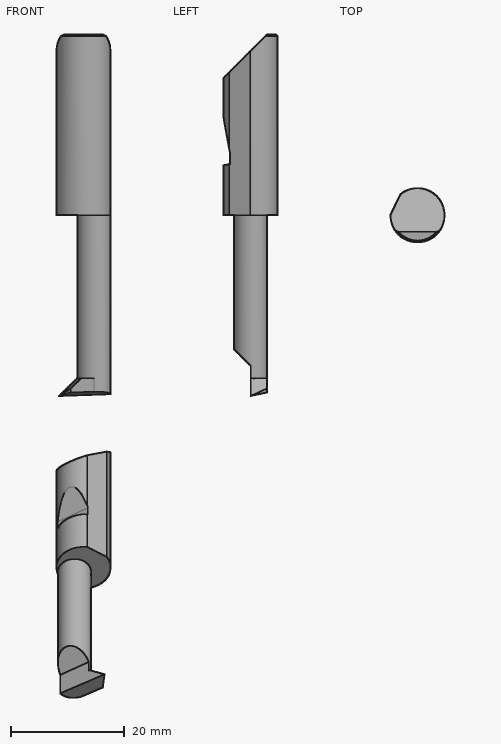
import cadquery as cq
import math

total_length = 63.5
shank_radius = 4.75
shank_bottom = 31.75
rim_chamfer = 0.3

flat_distance = 4.3
flat_angle = 154.0

top_cut_start_y = -2.9
top_cut_angle = 45.0

notch_top = 48.9
notch_ramp_end = 42.6
notch_floor_end = 40.75
notch_bottom = 40.5
notch_depth = 1.15

neck_radius = 2.9
neck_x = shank_radius - neck_radius

rake_runout_z = 5.35
tip_x = -4.3
head_height = 3.2
head_top_x = neck_x - neck_radius
flank_relief = 0.7
end_rise = 0.3
end_relief = 0.6
side_relief = 2.1


def make_shank():
    body = (
        cq.Workplane("XY")
        .workplane(offset=shank_bottom)
        .circle(shank_radius)
        .extrude(total_length - shank_bottom)
        .faces(">Z")
        .chamfer(rim_chamfer)
    )
    flat = (
        cq.Workplane("XY")
        .center(flat_distance + shank_radius, 0)
        .rect(2 * shank_radius, 2 * shank_radius)
        .extrude(total_length)
        .rotate((0, 0, 0), (0, 0, 1), flat_angle)
    )
    top_cut_run = 2 * shank_radius - top_cut_start_y
    top_cut_drop = top_cut_run * math.tan(math.radians(top_cut_angle))
    top_cut = side_prism([
        (top_cut_start_y, total_length),
        (top_cut_start_y + top_cut_run, total_length),
        (top_cut_start_y + top_cut_run, total_length - top_cut_drop),
    ])
    notch = side_prism([
        (shank_radius, notch_top),
        (shank_radius - notch_depth, notch_ramp_end),
        (shank_radius - notch_depth, notch_floor_end),
        (shank_radius, notch_bottom),
    ])
    return body.cut(flat).cut(top_cut).cut(notch)


def side_prism(points):
    """Extrude a Y-Z outline across the full width of the part."""
    return cq.Workplane("YZ").polyline(points).close().extrude(shank_radius, both=True)


def make_neck():
    """Round neck, cut back to its middle plane above the cutting head."""
    neck = cq.Workplane("XY").center(neck_x, 0).circle(neck_radius).extrude(shank_bottom)
    rake_cut = side_prism([
        (0, 0),
        (0, rake_runout_z),
        (2 * neck_radius, rake_runout_z + 2 * neck_radius),
        (2 * neck_radius, 0),
    ])
    return neck.cut(rake_cut)


def make_head():
    """Hooked head; its flank is sheared inward and beveled below, toward the front."""
    flank_width = head_top_x - tip_x
    blank = (
        cq.Workplane("XZ")
        .polyline([(tip_x, 0), (head_top_x, head_height), (neck_x, head_height), (neck_x, 0)])
        .close()
        .workplane(offset=neck_radius)
        .polyline([
            (tip_x + flank_relief, 0),
            (tip_x + flank_relief + flank_width, head_height),
            (neck_x, head_height),
            (neck_x, 0),
        ])
        .close()
        .loft(ruled=True)
    )
    relieved_plan = (
        cq.Workplane("XY")
        .polyline([
            (neck_x, 0),
            (tip_x, 0),
            (tip_x + side_relief, -neck_radius),
            (neck_x, -neck_radius),
        ])
        .close()
        .extrude(head_height)
    )
    return blank.intersect(relieved_plan)


def make_end_cut():
    """Wedge under the head: the end rises toward +X and toward -Y."""
    run_x = shank_radius - tip_x
    slope_y = end_relief / neck_radius
    rear_rise = slope_y * shank_radius
    floor = -head_height
    rear = [(tip_x, floor), (tip_x, 0), (tip_x + run_x, end_rise), (tip_x + run_x, floor)]
    front = [
        (tip_x, floor),
        (tip_x, rear_rise),
        (tip_x + run_x, end_rise + rear_rise),
        (tip_x + run_x, floor),
    ]
    return (
        cq.Workplane("XZ")
        .polyline(rear)
        .close()
        .workplane(offset=shank_radius)
        .polyline(front)
        .close()
        .loft(ruled=True)
    )


result = make_shank().union(make_neck()).union(make_head()).cut(make_end_cut())